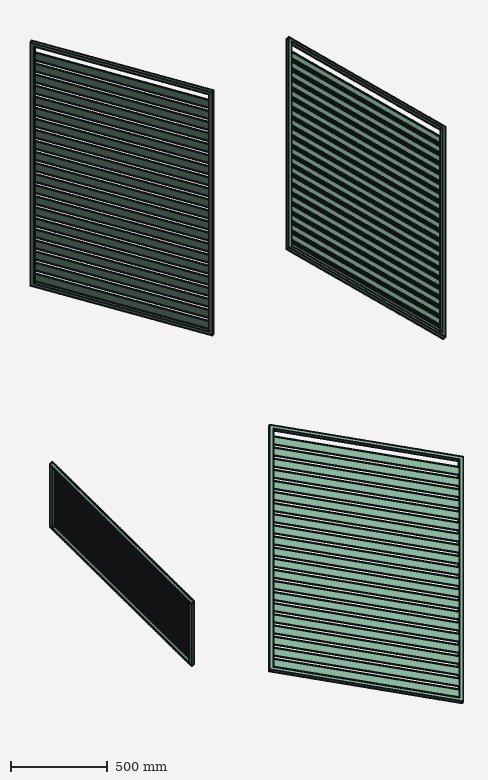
import cadquery as cq

width = 1040.0
height = 1540.0
bar = 20.0

slat_count = 21
slat_thickness = 5.1
slat_gap = bar

opening_width = width - 2 * bar
opening_height = height - 2 * bar

slat_height = (opening_height - (slat_count - 1) * slat_gap) / (slat_count + 1)
slat_pitch = slat_height + slat_gap

frame_back_y = bar / 2
lowest_slat_z = -opening_height / 2 + slat_height / 2


def make_frame():
    """Rectangular frame centered on the origin."""
    outer = cq.Workplane("XY").box(width, bar, height)
    opening = cq.Workplane("XY").box(opening_width, bar, opening_height)
    return outer.cut(opening)


def make_slat(index):
    """Slat between the side bars, counted from the bottom."""
    center_z = lowest_slat_z + index * slat_pitch
    slat = cq.Workplane("XY").box(opening_width, slat_thickness, slat_height)
    return slat.translate((0, frame_back_y, center_z))


result = make_frame()
for slat_index in range(slat_count):
    result = result.union(make_slat(slat_index))